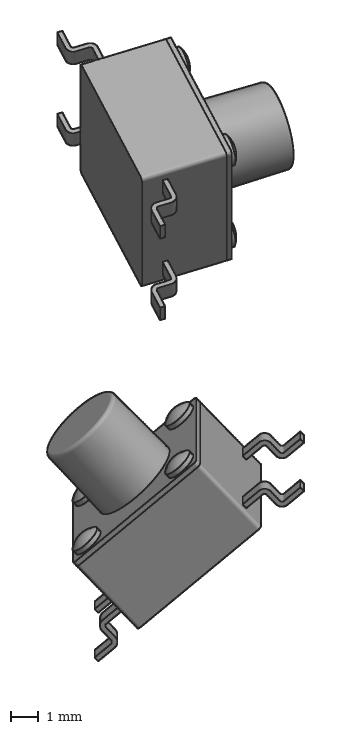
import cadquery as cq


body_side = 6.0
housing_height = 3.3
corner_radius = 0.15
cover_thickness = 0.2
cover_top = housing_height + cover_thickness

stud_offset = 2.25
stud_radius = 0.6
stud_rim_height = 0.2
stud_dome_height = 0.2

button_base_radius = 1.7
button_top_radius = 1.65
button_height = 3.0
button_edge_radius = 0.15

lead_span = 10.0
lead_offset = 2.25
lead_width = 0.7
lead_thickness = 0.2
lead_bottom = -0.1
lead_top = 1.0
riser_inner_x = 3.9
bend_inner_radius = 0.1


def square_block(bottom, height):
    """Square block with rounded corners, standing on the plane Y = bottom."""
    return (
        cq.Workplane("XZ", origin=(0, bottom, 0))
        .rect(body_side, body_side)
        .extrude(-height)
        .edges("|Y")
        .fillet(corner_radius)
    )


def make_stud(x, z):
    """Short cylinder with a spherical cap, revolved about its own axis."""
    rim_y = stud_rim_height
    tip_y = stud_rim_height + stud_dome_height
    dome_radius = (stud_radius**2 + stud_dome_height**2) / (2 * stud_dome_height)
    mid_radius = stud_radius / 2
    mid_y = tip_y - dome_radius + (dome_radius**2 - mid_radius**2) ** 0.5
    return (
        cq.Workplane("ZY")
        .lineTo(stud_radius, 0)
        .lineTo(stud_radius, rim_y)
        .threePointArc((mid_radius, mid_y), (0, tip_y))
        .close()
        .revolve(360, (0, 0, 0), (0, 1, 0))
        .translate((x, cover_top, z))
    )


def make_cover():
    """Cover plate with one stud near each corner."""
    cover = square_block(housing_height, cover_thickness)
    for x in (-stud_offset, stud_offset):
        for z in (-stud_offset, stud_offset):
            cover = cover.union(make_stud(x, z))
    return cover


def make_button():
    """Slightly tapered round button with a rounded top edge."""
    return (
        cq.Workplane("ZY")
        .lineTo(button_base_radius, 0)
        .lineTo(button_top_radius, button_height)
        .lineTo(0, button_height)
        .close()
        .revolve(360, (0, 0, 0), (0, 1, 0))
        .faces(">Y")
        .edges()
        .fillet(button_edge_radius)
        .translate((0, cover_top, 0))
    )


def make_lead(side, z):
    """Z-bent strip from the housing wall (side = +1 or -1 in X) out to its foot."""
    wall_x = body_side / 2
    tip_x = lead_span / 2
    riser_outer_x = riser_inner_x + lead_thickness
    profile = [
        (wall_x, lead_top),
        (riser_outer_x, lead_top),
        (riser_outer_x, lead_bottom + lead_thickness),
        (tip_x, lead_bottom + lead_thickness),
        (tip_x, lead_bottom),
        (riser_inner_x, lead_bottom),
        (riser_inner_x, lead_top - lead_thickness),
        (wall_x, lead_top - lead_thickness),
    ]
    inner_corners = (profile[2], profile[6])
    outer_corners = (profile[1], profile[5])
    lead = cq.Workplane("XY").polyline(profile).close().extrude(lead_width / 2, both=True)
    for corners, radius in (
        (inner_corners, bend_inner_radius),
        (outer_corners, bend_inner_radius + lead_thickness),
    ):
        for x, y in corners:
            bend_edge = cq.selectors.NearestToPointSelector((x, y, 0))
            lead = lead.edges("|Z").edges(bend_edge).fillet(radius)
    if side < 0:
        lead = lead.mirror("YZ")
    return lead.translate((0, 0, z))


housing = square_block(0, housing_height)
cover = make_cover()
button = make_button()
leads = [make_lead(side, z) for side in (-1, 1) for z in (-lead_offset, lead_offset)]

bodies = [housing, cover, button, *leads]
result = cq.Compound.makeCompound([body.solids().val() for body in bodies])